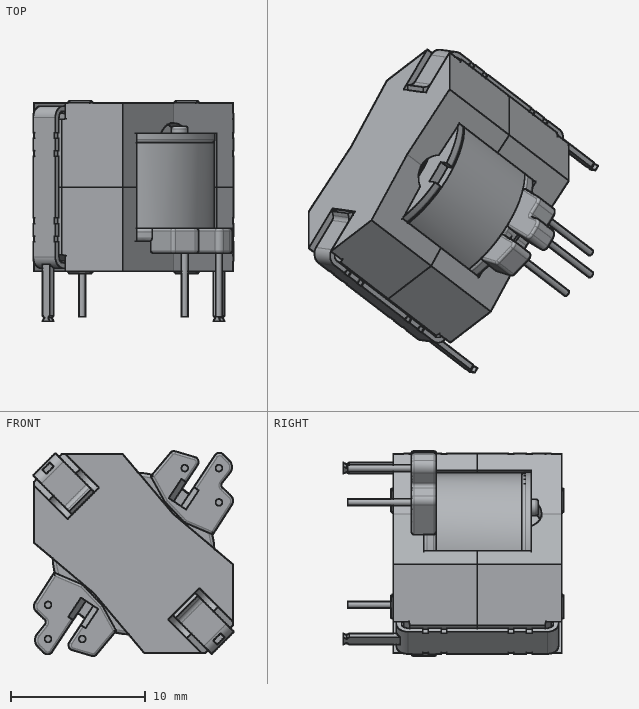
import cadquery as cq
import math

diagonal_angle = 45.0

clip_outer = 9.394
clip_thickness = 0.39
clip_half_width = 1.17
clip_arm_face = 6.03
clip_bend_radius = 0.85
clip_arm_end = 6.14
clip_lip_angle = math.radians(50)
clip_lip_radius = 0.44
clip_lip_length = 0.315
crimp_places = (2.5, 3.85)
crimp_length = 0.42
crimp_depth = 0.13

clip_pin_center = 8.98
clip_pin_width = 0.775
clip_pin_thickness = 0.42
clip_pin_root = -5.58
clip_pin_tip = -9.99
clip_pin_shoulder = -9.55
clip_pin_neck = -9.72
clip_pin_notch_depth = 0.18

core_half_side = 7.41
core_half_height = 6.27
core_leg_end = clip_outer - clip_thickness
core_waist = 4.17
core_shoulder = 5.81
cavity_radius = 6.19
cavity_half_height = 4.01
post_radius = 3.15
flat_distance = core_half_side * math.sqrt(2)

seat_half_width = 1.65
seat_outer_height = 5.03
seat_crest = 7.25
seat_crest_height = 5.49
groove_inner = 5.28
groove_rise = core_half_height - seat_crest_height
groove_span = seat_crest - groove_inner
groove_radius = (groove_span ** 2 + groove_rise ** 2) / (2 * groove_span)

recess_half_chord = 1.39
recess_rise = 0.76
recess_back = 3.0

flange_radius = 6.04
top_flange_thickness = 0.71
flange_fillet = 0.25
lug_top = -3.05
lug_bottom = -4.92
lug_middle = (lug_top + lug_bottom) / 2
lug_fillet = 0.2
tube_bore_radius = 3.25
tube_radius = 3.75
wire_notch_half_width = 0.86
wire_notch_floor = 5.13
knob_distance = 4.85
knob_radius = 0.62
knob_height = 0.52
knob_fillet = 0.2
winding_radius = 6.0

pin_pitch = 2.54
pin_outer = 2.5 * pin_pitch
pin_inner = pin_outer - pin_pitch
pin_places = [(pin_inner, pin_outer), (pin_outer, pin_outer), (pin_outer, pin_inner)]
pin_radius = 0.25
pin_tip = -9.65

slot_angle = 56.5
slot_end = (3.876, 4.626)
slot_width = 0.66
slot_short_side = 2.67
slot_long_side = 3.94
funnel_start = -1.11
funnel_end = 0.60
funnel_half_width = 0.77
funnel_depth = 0.75


def turned(body, half_turn=False):
    """Turn a body from the local diagonal frame into place about Y."""
    angle = diagonal_angle + (180 if half_turn else 0)
    return body.rotate((0, 0, 0), (0, 1, 0), angle)


def disc(radius, low, high):
    """Cylinder about the coil axis between two Y levels."""
    return cq.Workplane("XZ", origin=(0, low, 0)).circle(radius).extrude(low - high)


def core_half():
    """Core half on the +Y side of the parting plane, in the local frame."""
    chamfer_half = flat_distance - core_leg_end
    shoulder_half = flat_distance - core_shoulder
    right = [
        (core_shoulder, -shoulder_half),
        (core_leg_end, -chamfer_half),
        (core_leg_end, chamfer_half),
        (core_shoulder, shoulder_half),
        (0, core_waist),
    ]
    left = [(-along, -across) for along, across in right]
    half = cq.Workplane("XZ").polyline(right + left).close().extrude(-core_half_height)
    half = half.cut(disc(cavity_radius, 0, cavity_half_height))
    half = half.union(disc(post_radius, 0, cavity_half_height))

    bottom_place = groove_inner + groove_radius
    seat = (
        cq.Workplane("XY")
        .moveTo(groove_inner, core_half_height)
        .threePointArc((bottom_place, core_half_height - groove_radius), (seat_crest, seat_crest_height))
        .lineTo(core_leg_end, seat_outer_height)
        .lineTo(core_leg_end, core_half_height)
        .close()
        .extrude(seat_half_width, both=True)
    )
    recess = (
        cq.Workplane("XY", origin=(0, 0, recess_back))
        .moveTo(-recess_half_chord, cavity_half_height)
        .threePointArc((0, cavity_half_height + recess_rise), (recess_half_chord, cavity_half_height))
        .close()
        .extrude(core_half_side)
    )
    for cutter in (seat, recess):
        half = half.cut(cutter).cut(cutter.rotate((0, 0, 0), (0, 1, 0), 180))
    return half


def clip():
    """Spring clip on the +local-X end: back, two arms with flared lips, and a pin."""
    bend_place = clip_outer - clip_bend_radius
    bend_height = clip_arm_face - clip_bend_radius
    inner_bend = clip_bend_radius - clip_thickness
    back_inner = clip_outer - clip_thickness
    arm_inner = clip_arm_face - clip_thickness

    def on_bend(radius):
        diagonal = radius * math.sin(math.radians(45))
        return (bend_place + diagonal, bend_height + diagonal)

    lip_center = clip_arm_face + clip_lip_radius

    def on_lip(radius, angle):
        return (clip_arm_end - radius * math.sin(angle), lip_center - radius * math.cos(angle))

    def lip_tip(radius):
        along, height = on_lip(radius, clip_lip_angle)
        return (
            along - clip_lip_length * math.cos(clip_lip_angle),
            height + clip_lip_length * math.sin(clip_lip_angle),
        )

    lip_under = clip_lip_radius + clip_thickness
    upper_half = (
        cq.Workplane("XY")
        .moveTo(clip_outer, 0)
        .lineTo(clip_outer, bend_height)
        .threePointArc(on_bend(clip_bend_radius), (bend_place, clip_arm_face))
        .lineTo(clip_arm_end, clip_arm_face)
        .threePointArc(on_lip(clip_lip_radius, clip_lip_angle / 2), on_lip(clip_lip_radius, clip_lip_angle))
        .lineTo(*lip_tip(clip_lip_radius))
        .lineTo(*lip_tip(lip_under))
        .lineTo(*on_lip(lip_under, clip_lip_angle))
        .threePointArc(on_lip(lip_under, clip_lip_angle / 2), (clip_arm_end, arm_inner))
        .lineTo(bend_place, arm_inner)
        .threePointArc(on_bend(inner_bend), (back_inner, bend_height))
        .lineTo(back_inner, 0)
        .close()
        .extrude(clip_half_width, both=True)
    )
    body = upper_half.union(upper_half.mirror("XZ"))

    for height in crimp_places:
        for side in (-1, 1):
            for edge in (-1, 1):
                crimp = cq.Workplane("XY").box(2 * clip_thickness, crimp_length, 2 * crimp_depth)
                body = body.cut(crimp.translate((clip_outer, side * height, edge * clip_half_width)))

    half_width = clip_pin_width / 2
    neck_half = half_width - clip_pin_notch_depth
    one_edge = [
        (clip_pin_root, half_width),
        (clip_pin_shoulder, half_width),
        (clip_pin_neck, neck_half),
        (clip_pin_tip, half_width),
    ]
    other_edge = [(height, -across) for height, across in reversed(one_edge)]
    pin = (
        cq.Workplane("YZ", origin=(clip_pin_center, 0, 0))
        .polyline(one_edge + other_edge)
        .close()
        .extrude(clip_pin_thickness / 2, both=True)
    )
    return body.union(pin)


def slot_place(along, side):
    """Point on a side wall of the wire slot, measured out from its closed end."""
    angle = math.radians(slot_angle)
    across = side * slot_width / 2
    return (
        slot_end[0] + along * math.cos(angle) - across * math.sin(angle),
        slot_end[1] + along * math.sin(angle) + across * math.cos(angle),
    )


def lug():
    """Terminal lug of the coil former on the +X +Z side, with its three pins."""
    corners = [
        ((1.28, 5.75), 0),
        ((2.895, 7.679), 0.33),
        (slot_place(slot_short_side, 1), 0.4),
        (slot_place(0, 1), 0),
        (slot_place(0, -1), 0),
        (slot_place(slot_long_side, -1), 0.4),
        ((7.57, 6.48), 0.7),
        ((6.45, 5.07), 0.25),
        ((7.57, 4.00), 0.55),
        ((5.90, 1.41), 0),
        ((3.79, 2.31), 0),
        ((2.33, 3.84), 0),
    ]
    body = (
        cq.Workplane("XZ", origin=(0, lug_top, 0))
        .polyline([place for place, _ in corners])
        .close()
        .extrude(lug_top - lug_bottom)
    )
    for (across, height), radius in corners:
        if radius:
            corner_edge = cq.NearestToPointSelector((across, lug_middle, height))
            body = body.edges("|Y").edges(corner_edge).fillet(radius)
    body = body.faces("<Y or >Y").edges().fillet(lug_fillet)

    funnel = (
        cq.Workplane("YZ", origin=(funnel_start, 0, 0))
        .polyline([
            (lug_bottom, -funnel_half_width),
            (lug_bottom, funnel_half_width),
            (lug_bottom + funnel_depth, slot_width / 2),
            (lug_bottom + funnel_depth, -slot_width / 2),
        ])
        .close()
        .extrude(funnel_end - funnel_start)
        .rotate((0, 0, 0), (0, 1, 0), -slot_angle)
        .translate((slot_end[0], 0, slot_end[1]))
    )
    body = body.cut(funnel)
    pins = (
        cq.Workplane("XZ", origin=(0, lug_middle, 0))
        .pushPoints(pin_places)
        .circle(pin_radius)
        .extrude(lug_middle - pin_tip)
    )
    return body.union(pins)


def coil_former():
    """Tube with two flanges, two lugs with pins, a wire notch and a marker knob."""
    top_flange_low = cavity_half_height - top_flange_thickness
    top_flange = disc(flange_radius, top_flange_low, cavity_half_height)
    top_flange = top_flange.faces("<Y").edges().fillet(flange_fillet)
    notch_depth = flange_radius - wire_notch_floor
    notch = cq.Workplane("XY").box(2 * wire_notch_half_width, 2 * cavity_half_height, 2 * notch_depth)
    notch = notch.translate((0, cavity_half_height, -flange_radius))
    knob = (
        cq.Workplane("XZ", origin=(0, cavity_half_height, knob_distance))
        .circle(knob_radius)
        .extrude(-knob_height)
        .faces(">Y").edges().fillet(knob_fillet)
    )
    top_flange = turned(top_flange.cut(notch).union(knob))

    bottom_flange = disc(flange_radius, -cavity_half_height, lug_top)
    bottom_flange = bottom_flange.edges().fillet(flange_fillet)
    former = disc(tube_radius, -cavity_half_height, cavity_half_height)
    former = former.union(top_flange).union(bottom_flange)
    for angle in (0, 180):
        former = former.union(lug().rotate((0, 0, 0), (0, 1, 0), angle))
    return former.cut(disc(tube_bore_radius, -cavity_half_height, cavity_half_height))


def winding():
    """Coil filling the former between its flanges."""
    top = cavity_half_height - top_flange_thickness
    return disc(winding_radius, lug_top, top).cut(disc(tube_radius, lug_top, top))


upper_core = turned(core_half())
lower_core = turned(core_half().mirror("XZ"))
clips = [turned(clip()), turned(clip(), half_turn=True)]

result = cq.Compound.makeCompound([
    upper_core.val(),
    lower_core.val(),
    coil_former().val(),
    winding().val(),
    *[item.val() for item in clips],
])